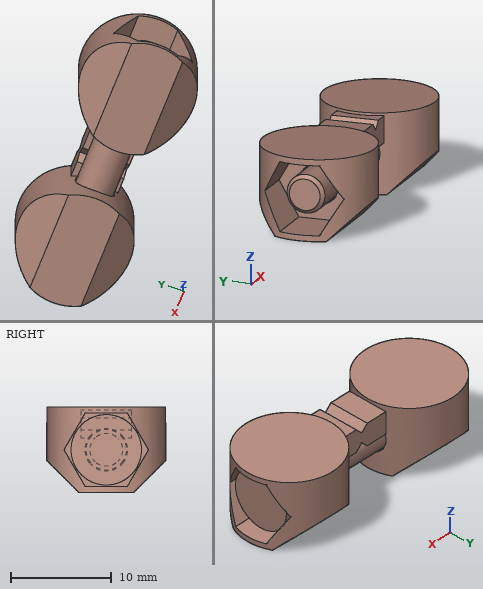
import cadquery as cq
import math

total_length = 29.0
housing_diameter = 11.8
housing_height = 8.5
bottom_chamfer = 3.2

rod_diameter = 4.0
bore_diameter = 4.2
rod_chamfer = 0.38
head_diameter = 7.0
bolt_end_inset = 1.83

hex_across_flats = 7.25
pocket_depth = 5.8

block_width = 5.0
block_height = 2.78
block_top_inset = 0.3
block_gap = 0.05
notch_x = 0.8
notch_depth = 0.78

housing_radius = housing_diameter / 2
housing_x = total_length / 2 - housing_radius
axis_z = housing_height / 2
block_start = -housing_x + housing_radius + block_gap
block_top = housing_height - block_top_inset
block_bottom = block_top - block_height
hex_across_corners = hex_across_flats / math.cos(math.pi / 6)
bolt_end_x = total_length / 2 - bolt_end_inset
pocket_floor_x = total_length / 2 - pocket_depth


def x_axis_plane(x):
    """Plane facing +X, centred on the bolt axis, with its local x along Y."""
    return cq.Plane(origin=(x, 0, axis_z), xDir=(0, 1, 0), normal=(1, 0, 0))


def bevelled_drum(center_x):
    """Upright drum whose two long bottom sides are cut off by sloping planes."""
    drum = cq.Workplane("XY").center(center_x, 0).circle(housing_radius).extrude(housing_height)
    foot_half_width = housing_radius - bottom_chamfer
    profile = (
        cq.Workplane("YZ", origin=(center_x - housing_radius, 0, 0))
        .moveTo(-foot_half_width, 0)
        .lineTo(foot_half_width, 0)
        .lineTo(housing_radius, bottom_chamfer)
        .lineTo(housing_radius, housing_height)
        .lineTo(-housing_radius, housing_height)
        .lineTo(-housing_radius, bottom_chamfer)
        .close()
        .extrude(housing_diameter)
    )
    return drum.intersect(profile)


def bolt_bore():
    """Clearance bore along the whole assembly."""
    return cq.Workplane(x_axis_plane(-total_length / 2)).circle(bore_diameter / 2).extrude(total_length)


def hex_pocket(side):
    """Hexagonal pocket cutter at the -X end (side = -1) or the +X end (side = 1)."""
    return (
        cq.Workplane(x_axis_plane(side * total_length / 2))
        .polygon(6, hex_across_corners)
        .extrude(-side * pocket_depth)
    )


def spacer_block():
    """Block reaching into the +X housing, with a V notch across its top and its bottom."""
    return (
        cq.Workplane("XZ")
        .moveTo(block_start, block_bottom)
        .lineTo(notch_x - notch_depth, block_bottom)
        .lineTo(notch_x, block_bottom + notch_depth)
        .lineTo(notch_x + notch_depth, block_bottom)
        .lineTo(housing_x, block_bottom)
        .lineTo(housing_x, block_top)
        .lineTo(notch_x + notch_depth, block_top)
        .lineTo(notch_x, block_top - notch_depth)
        .lineTo(notch_x - notch_depth, block_top)
        .lineTo(block_start, block_top)
        .close()
        .extrude(block_width / 2, both=True)
    )


def plain_housing():
    """Housing at the -X end."""
    return bevelled_drum(-housing_x).cut(bolt_bore()).cut(hex_pocket(-1))


def spacer_housing():
    """Housing at the +X end, in one piece with the notched spacer block."""
    return bevelled_drum(housing_x).union(spacer_block()).cut(bolt_bore()).cut(hex_pocket(1))


def connecting_bolt():
    """Rod through both housings, chamfered at -X, with a round head seated in the +X pocket."""
    rod = (
        cq.Workplane(x_axis_plane(-bolt_end_x))
        .circle(rod_diameter / 2)
        .extrude(bolt_end_x + pocket_floor_x)
        .faces("<X")
        .chamfer(rod_chamfer)
    )
    head = (
        cq.Workplane(x_axis_plane(pocket_floor_x))
        .circle(head_diameter / 2)
        .extrude(bolt_end_x - pocket_floor_x)
    )
    return rod.union(head)


left_housing = plain_housing()
right_housing = spacer_housing()
bolt = connecting_bolt()

result = cq.Compound.makeCompound([left_housing.val(), right_housing.val(), bolt.val()])